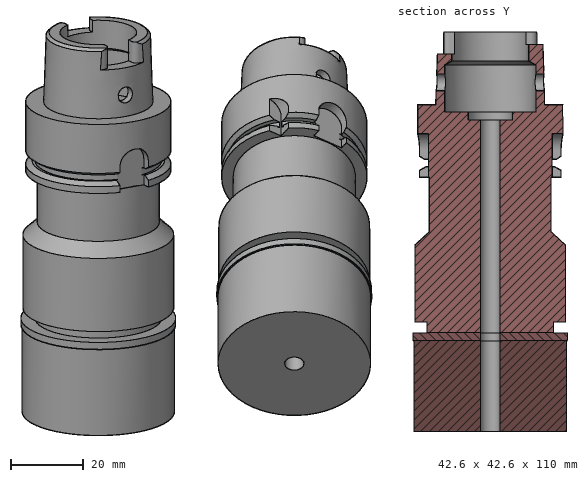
import cadquery as cq

TOTAL_HEIGHT = 110.0
NUT_HEIGHT = 25.0
RING_THICKNESS = 2.2
NECK_HEIGHT = 3.0
SLEEVE_HEIGHT = 21.2
SLEEVE_CONE_HEIGHT = 3.6
SHANK_HEIGHT = 20.0
FLANGE_HEIGHT = 20.0

RING_BOTTOM = NUT_HEIGHT
NECK_BOTTOM = RING_BOTTOM + RING_THICKNESS
SLEEVE_BOTTOM = NECK_BOTTOM + NECK_HEIGHT
SLEEVE_TOP = SLEEVE_BOTTOM + SLEEVE_HEIGHT
SHANK_BOTTOM = TOTAL_HEIGHT - SHANK_HEIGHT
FLANGE_BOTTOM = SHANK_BOTTOM - FLANGE_HEIGHT

NUT_RADIUS = 21.0
RING_RADIUS = 21.3
NECK_RADIUS = 17.5
SLEEVE_RADIUS = 20.8
BODY_RADIUS = 16.8
FLANGE_RADIUS = 20.0
SHANK_BASE_RADIUS = 15.1
SHANK_TOP_RADIUS = 14.4

RING_CHAMFER = 0.2
SHANK_CHAMFER_WIDTH = 0.9
SHANK_CHAMFER_HEIGHT = 0.8

RIM_HEIGHT = 2.0
RIM_BEVEL_HEIGHT = 1.0
GROOVE_ROOT_HEIGHT = 2.0
GROOVE_UPPER_BEVEL_HEIGHT = 0.9
GROOVE_RADIUS = 17.5
RIM_BEVEL_RADIUS = 18.3
UPPER_BEVEL_RADIUS = 18.7

BORE_RADIUS = 10.6
MOUTH_DEPTH = 8.0
CHAMBER_RADIUS = 12.5
CHAMBER_CONE_HEIGHT = 1.1
BORE_DEPTH = 22.0
COUNTERBORE_RADIUS = 6.0
COUNTERBORE_DEPTH = 2.2
COOLANT_RADIUS = 2.6

CROSS_HOLE_DIAMETER = 4.5
CROSS_HOLE_DEPTH = 13.9

KEY_SLOT_HALF_WIDTH = 4.0
KEY_SLOT_FILLET = 1.6
KEY_RELIEF_X = 12.9
LEFT_KEY_SLOT_DEPTH = 3.4
RIGHT_KEY_SLOT_DEPTH = 6.0

DRIVE_SLOT_RADIUS = 4.5
DRIVE_SLOT_HEIGHT = 12.0
DRIVE_SLOT_FLOOR = 17.0
INDEX_NOTCH_FLOOR = 12.1
INDEX_NOTCH_WALL = 12.1

CLEARANCE = 5.5


def make_blank():
    """Turned outside of the holder, from the lower neck to the shank rim."""
    rim_top = FLANGE_BOTTOM + RIM_HEIGHT
    bevel_top = rim_top + RIM_BEVEL_HEIGHT
    root_top = bevel_top + GROOVE_ROOT_HEIGHT
    groove_top = root_top + GROOVE_UPPER_BEVEL_HEIGHT
    profile = [
        (0, NECK_BOTTOM),
        (NECK_RADIUS, NECK_BOTTOM),
        (NECK_RADIUS, SLEEVE_BOTTOM),
        (SLEEVE_RADIUS, SLEEVE_BOTTOM),
        (SLEEVE_RADIUS, SLEEVE_TOP),
        (BODY_RADIUS, SLEEVE_TOP + SLEEVE_CONE_HEIGHT),
        (BODY_RADIUS, FLANGE_BOTTOM),
        (FLANGE_RADIUS, FLANGE_BOTTOM),
        (FLANGE_RADIUS, rim_top),
        (RIM_BEVEL_RADIUS, bevel_top),
        (GROOVE_RADIUS, bevel_top),
        (GROOVE_RADIUS, root_top),
        (UPPER_BEVEL_RADIUS, root_top),
        (FLANGE_RADIUS, groove_top),
        (FLANGE_RADIUS, SHANK_BOTTOM),
        (SHANK_BASE_RADIUS, SHANK_BOTTOM),
        (SHANK_TOP_RADIUS, TOTAL_HEIGHT - SHANK_CHAMFER_HEIGHT),
        (SHANK_TOP_RADIUS - SHANK_CHAMFER_WIDTH, TOTAL_HEIGHT),
        (0, TOTAL_HEIGHT),
    ]
    return cq.Workplane("XZ").polyline(profile).close().revolve(360, (0, 0, 0), (0, 1, 0))


def make_key_slot(side, depth):
    """Slot cutter whose walls sweep through a fillet into a flat relief across the rim."""
    fillet_start = KEY_RELIEF_X - KEY_SLOT_FILLET
    fillet_end_y = KEY_SLOT_HALF_WIDTH + KEY_SLOT_FILLET
    relief_half_width = SHANK_BASE_RADIUS
    outer_x = SHANK_BASE_RADIUS + CLEARANCE
    outline = (
        cq.Workplane("XY", origin=(0, 0, TOTAL_HEIGHT - depth))
        .moveTo(0, -KEY_SLOT_HALF_WIDTH)
        .lineTo(side * fillet_start, -KEY_SLOT_HALF_WIDTH)
        .tangentArcPoint((side * KEY_RELIEF_X, -fillet_end_y), relative=False)
        .lineTo(side * KEY_RELIEF_X, -relief_half_width)
        .lineTo(side * outer_x, -relief_half_width)
        .lineTo(side * outer_x, relief_half_width)
        .lineTo(side * KEY_RELIEF_X, relief_half_width)
        .lineTo(side * KEY_RELIEF_X, fillet_end_y)
        .tangentArcPoint((side * fillet_start, KEY_SLOT_HALF_WIDTH), relative=False)
        .lineTo(0, KEY_SLOT_HALF_WIDTH)
        .close()
    )
    return outline.extrude(depth + CLEARANCE)


def make_bore():
    """Stepped bore down the axis of the holder."""
    mouth_bottom = TOTAL_HEIGHT - MOUTH_DEPTH
    bore_floor = TOTAL_HEIGHT - BORE_DEPTH
    counterbore_floor = bore_floor - COUNTERBORE_DEPTH
    profile = [
        (0, TOTAL_HEIGHT),
        (BORE_RADIUS, TOTAL_HEIGHT),
        (BORE_RADIUS, mouth_bottom),
        (CHAMBER_RADIUS, mouth_bottom - CHAMBER_CONE_HEIGHT),
        (CHAMBER_RADIUS, bore_floor),
        (COUNTERBORE_RADIUS, bore_floor),
        (COUNTERBORE_RADIUS, counterbore_floor),
        (COOLANT_RADIUS, counterbore_floor),
        (COOLANT_RADIUS, NECK_BOTTOM),
        (0, NECK_BOTTOM),
    ]
    return cq.Workplane("XZ").polyline(profile).close().revolve(360, (0, 0, 0), (0, 1, 0))


def make_drive_slot(side, floor, center_y):
    """Round-topped cutter running along X from the slot floor out past the flange."""
    arch_z = FLANGE_BOTTOM + DRIVE_SLOT_HEIGHT - DRIVE_SLOT_RADIUS
    outline = (
        cq.Workplane("YZ", origin=(side * floor, center_y, 0))
        .moveTo(-DRIVE_SLOT_RADIUS, FLANGE_BOTTOM)
        .lineTo(DRIVE_SLOT_RADIUS, FLANGE_BOTTOM)
        .lineTo(DRIVE_SLOT_RADIUS, arch_z)
        .threePointArc((0, arch_z + DRIVE_SLOT_RADIUS), (-DRIVE_SLOT_RADIUS, arch_z))
        .close()
    )
    return outline.extrude(side * (FLANGE_RADIUS - floor + CLEARANCE))


def make_cross_hole():
    """Radial hole along X through both walls of the shank."""
    center_z = TOTAL_HEIGHT - CROSS_HOLE_DEPTH
    section = cq.Workplane("YZ").center(0, center_z).circle(CROSS_HOLE_DIAMETER / 2)
    return section.extrude(FLANGE_RADIUS, both=True)


def make_holder():
    """Tool holder with hollow shank, slotted flange and stepped sleeve."""
    holder = make_blank().cut(make_bore()).cut(make_cross_hole())
    holder = holder.cut(make_key_slot(-1, LEFT_KEY_SLOT_DEPTH))
    holder = holder.cut(make_key_slot(1, RIGHT_KEY_SLOT_DEPTH))
    for side in (-1, 1):
        holder = holder.cut(make_drive_slot(side, DRIVE_SLOT_FLOOR, 0))
    notch_center_y = INDEX_NOTCH_WALL + DRIVE_SLOT_RADIUS
    return holder.cut(make_drive_slot(-1, INDEX_NOTCH_FLOOR, notch_center_y))


def make_disc(bottom, height, radius):
    """Disc around the axis with the coolant hole through it."""
    return cq.Workplane("XY", origin=(0, 0, bottom)).circle(radius).circle(COOLANT_RADIUS).extrude(height)


def make_ring():
    """Thin ring between nut and holder, with its lower outer edge broken."""
    lower_outer_edge = cq.selectors.RadiusNthSelector(-1)
    ring = make_disc(RING_BOTTOM, RING_THICKNESS, RING_RADIUS)
    return ring.faces("<Z").edges(lower_outer_edge).chamfer(RING_CHAMFER)


def make_nut():
    """Plain cylindrical nut at the bottom of the stack."""
    return make_disc(0, NUT_HEIGHT, NUT_RADIUS)


holder = make_holder()
ring = make_ring()
nut = make_nut()

result = cq.Compound.makeCompound([holder.val(), ring.val(), nut.val()])